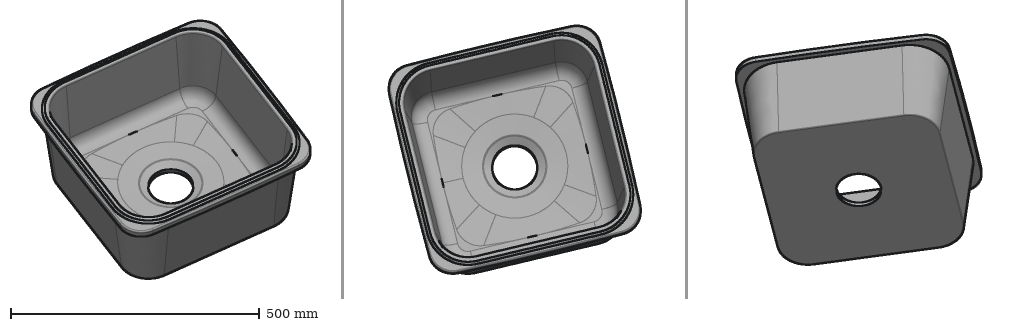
import cadquery as cq
import math

size = 442.0
height = 200.0

rim_top = 196.5
rim_bottom = 181.5
rim_bow = 2.0
rim_side_half = 170.5
rim_edge_fillet = 3.5

bead_top_half = 206.5
bead_root_half = 212.0

corner_center = 128.0
outer_top_half = 209.5
outer_bottom_half = 190.5
outer_bottom_fillet = 1.8
opening_half = 196.5
wall_slope = (outer_top_half - outer_bottom_half) / rim_bottom
opening_fillet = 1.8
floor_fillet = 32.3

floor_z = 25.0
dish_half = 149.5
dish_bow = 5.0
dish_side_half = 99.5
ring_radius = 107.0
ring_z = 23.0
drain_top_radius = 63.5
drain_top_z = 20.0
drain_edge_fillet = 5.5
drain_diameter = 90.5
drain_radius = drain_diameter / 2
drain_throat_z = 10.0


def rounded_square(half):
    """Sketch of a square whose corner arcs are centred on the common corner line."""
    return cq.Sketch().rect(2 * half, 2 * half).vertices().fillet(half - corner_center)


def tapered_block(bottom_half, bottom_z, top_half, top_z):
    """Solid between two rounded squares at different heights."""
    top = rounded_square(top_half).moved(cq.Location(cq.Vector(0, 0, top_z - bottom_z)))
    base = cq.Workplane("XY", origin=(0, 0, bottom_z))
    return base.placeSketch(rounded_square(bottom_half), top).loft(ruled=True)


def turned(x, y, quarter_turns):
    """Point turned clockwise about the origin by a number of quarter turns."""
    for _ in range(quarter_turns):
        x, y = y, -x
    return x, y


def bowed_square(half, bow, side_half, z):
    """Square outline with bowed sides, each running tangent into its corner arcs."""
    side_radius = (side_half**2 + bow**2) / (2 * bow)
    end_angle = math.asin(side_half / side_radius)
    end = half - bow
    corner_radius = (end - side_half) / (math.cos(end_angle) - math.sin(end_angle))
    arc_center = side_half - corner_radius * math.sin(end_angle)
    corner_mid = arc_center + corner_radius * math.sqrt(0.5)

    outline = cq.Workplane("XY", origin=(0, 0, z)).moveTo(-side_half, end)
    for turn in range(4):
        side_arc = (turned(0, half, turn), turned(side_half, end, turn))
        corner_arc = (turned(corner_mid, corner_mid, turn), turned(end, side_half, turn))
        outline = outline.threePointArc(*side_arc).threePointArc(*corner_arc)
    return outline.close()


def make_rim():
    rim = bowed_square(size / 2, rim_bow, rim_side_half, rim_bottom).extrude(rim_top - rim_bottom)
    return rim.faces(">Z").edges().fillet(rim_edge_fillet)


def make_bead():
    return tapered_block(bead_root_half, rim_top, bead_top_half, height)


def make_bowl_outside():
    bowl = tapered_block(outer_bottom_half, 0, outer_top_half, rim_bottom)
    return bowl.faces("<Z").edges().fillet(outer_bottom_fillet)


def make_cavity():
    floor_half = opening_half - wall_slope * (height - floor_z)
    cavity = tapered_block(floor_half, floor_z, opening_half, height)
    return cavity.faces("<Z").edges().fillet(floor_fillet)


def make_dish():
    outline = bowed_square(dish_half, dish_bow, dish_side_half, floor_z).wires().val()
    ring = cq.Wire.makeCircle(ring_radius, cq.Vector(0, 0, ring_z), cq.Vector(0, 0, 1))
    return cq.Workplane(cq.Solid.makeLoft([ring, outline], True))


def make_drain():
    profile = [
        (0, 0),
        (drain_radius, 0),
        (drain_radius, drain_throat_z),
        (drain_top_radius, drain_top_z),
        (ring_radius, ring_z),
        (ring_radius, floor_z),
        (0, floor_z),
    ]
    drain = cq.Workplane("XZ").polyline(profile).close().revolve(360, (0, 0), (0, 1))
    funnel_mouth = cq.selectors.RadiusNthSelector(1)
    return drain.edges(funnel_mouth).fillet(drain_edge_fillet)


def round_opening(sink):
    mouth = sink.faces(">Z").wires()
    inner_edges = min(mouth.vals(), key=lambda wire: wire.Length()).Edges()
    return sink.newObject(inner_edges).fillet(opening_fillet)


sink = make_rim().union(make_bead()).union(make_bowl_outside())
sink = sink.cut(make_cavity()).cut(make_dish()).cut(make_drain())
result = round_opening(sink)